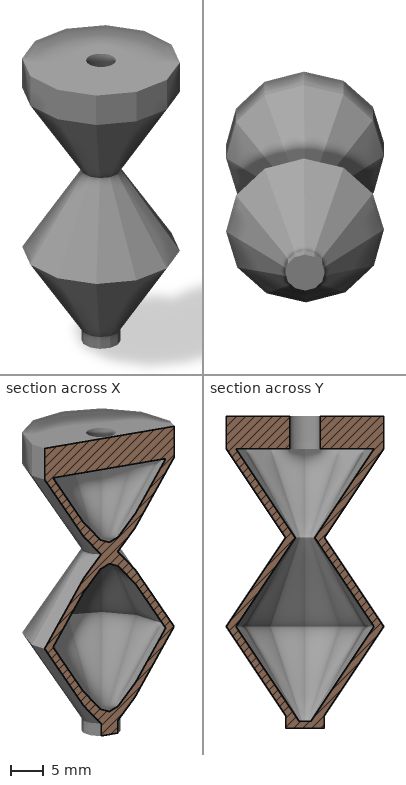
import cadquery as cq
import math

SIDES = 12
OUTER_RADIUS = 12.0
WAIST_RADIUS = 3.0
CONE_HEIGHT = 13.5
FOOT_HEIGHT = 2.0
LID_HEIGHT = 5.0
WALL = 1.5
FLOOR_RADIUS = 0.86
HOLE_DIAMETER = 4.5

BELLY_Z = FOOT_HEIGHT + CONE_HEIGHT
WAIST_Z = BELLY_Z + CONE_HEIGHT
LID_Z = WAIST_Z + CONE_HEIGHT

CORNER_WALL = WALL / math.cos(math.pi / SIDES)
INNER_RADIUS = OUTER_RADIUS - CORNER_WALL
NECK_RADIUS = WAIST_RADIUS - CORNER_WALL

CONE_SLOPE = (OUTER_RADIUS - WAIST_RADIUS) / CONE_HEIGHT
FLOOR_Z = BELLY_Z - (INNER_RADIUS - FLOOR_RADIUS) / CONE_SLOPE


def prism(z, height, radius):
    """Regular prism with corners on the X and Y axes."""
    return cq.Workplane("XY", origin=(0, 0, z)).polygon(SIDES, 2 * radius).extrude(height)


def frustum(z, height, bottom_radius, top_radius):
    """Regular frustum with corners on the X and Y axes."""
    return (
        cq.Workplane("XY", origin=(0, 0, z))
        .polygon(SIDES, 2 * bottom_radius)
        .workplane(offset=height)
        .polygon(SIDES, 2 * top_radius)
        .loft(ruled=True)
    )


def hourglass(bottom_z, bottom_radius, belly_radius, waist_radius):
    """Double cone with an upturned cone above it, from the given bottom to the lid."""
    lower = frustum(bottom_z, BELLY_Z - bottom_z, bottom_radius, belly_radius)
    middle = frustum(BELLY_Z, CONE_HEIGHT, belly_radius, waist_radius)
    upper = frustum(WAIST_Z, CONE_HEIGHT, waist_radius, belly_radius)
    return lower.union(middle).union(upper)


def make_body():
    """Outer shape: foot, hourglass and lid."""
    foot = prism(0, FOOT_HEIGHT, WAIST_RADIUS)
    cones = hourglass(FOOT_HEIGHT, WAIST_RADIUS, OUTER_RADIUS, WAIST_RADIUS)
    lid = prism(LID_Z, LID_HEIGHT, OUTER_RADIUS)
    return cones.union(foot).union(lid)


def make_cavity():
    """Hollow parallel to the outer walls, closed by the foot and the lid."""
    return hourglass(FLOOR_Z, FLOOR_RADIUS, INNER_RADIUS, NECK_RADIUS)


def make_filling_hole():
    """Round hole through the lid into the cavity."""
    return cq.Workplane("XY", origin=(0, 0, LID_Z)).circle(HOLE_DIAMETER / 2).extrude(LID_HEIGHT)


result = make_body().cut(make_cavity()).cut(make_filling_hole())